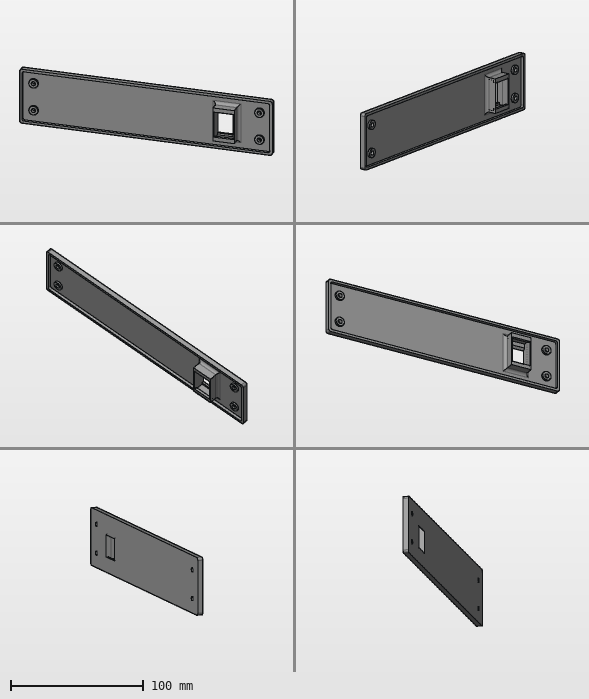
import cadquery as cq

plate_length = 199.6
plate_height = 44.5
plate_thickness = 4.2
total_depth = 10.2
corner_radius = 2.0

rim_width = 2.0
recess_depth = 2.4
recess_corner_radius = 1.5
floor_y = recess_depth - plate_thickness

boss_diameter = 7.2
boss_hole_diameter = 3.2
boss_height = 1.5
boss_spacing_x = 178.5
boss_spacing_z = 22.2

housing_x = 63.3
housing_width = 17.0
housing_height = 27.1
housing_fillet = 2.4
front_y = -total_depth

opening_width = 15.2
opening_top = 10.2
opening_bottom = -10.4
lip_thickness = 2.2
groove_depth = 1.5
groove_front_y = front_y + lip_thickness
groove_back_y = -1.8
ridge_tip_z = opening_top - 1.8
ridge_back_z = ridge_tip_z - 1.8


def front_block(width, height, start_y, end_y, center_x=0):
    """Box centred on Z = 0 between two Y positions."""
    depth = end_y - start_y
    return cq.Workplane("XY").box(width, depth, height).translate((center_x, (start_y + end_y) / 2, 0))


def make_tray():
    plate = front_block(plate_length, plate_height, -plate_thickness, 0)
    plate = plate.edges("|Y").fillet(corner_radius)
    recess = front_block(
        plate_length - 2 * rim_width, plate_height - 2 * rim_width, -plate_thickness, floor_y
    )
    return plate.cut(recess.edges("|Y").fillet(recess_corner_radius))


def add_housing(body):
    housing = front_block(housing_width, housing_height, front_y, floor_y, housing_x)
    body = body.union(housing)
    reach = 0.2
    base_edges = cq.selectors.BoxSelector(
        (housing_x - housing_width / 2 - reach, floor_y - reach, -housing_height / 2 - reach),
        (housing_x + housing_width / 2 + reach, floor_y + reach, housing_height / 2 + reach),
    )
    return body.edges(base_edges).fillet(housing_fillet)


def make_opening():
    """Side profile of the opening in the YZ plane, swept across its width."""
    profile = [
        (front_y, opening_bottom),
        (groove_front_y, opening_bottom),
        (groove_front_y, opening_bottom - groove_depth),
        (groove_back_y, opening_bottom - groove_depth),
        (groove_back_y, opening_bottom),
        (0, opening_bottom),
        (0, ridge_back_z),
        (groove_back_y, ridge_tip_z),
        (groove_back_y, opening_top + groove_depth),
        (groove_front_y, opening_top + groove_depth),
        (groove_front_y, opening_top),
        (front_y, opening_top),
    ]
    side_plane = cq.Workplane("YZ", origin=(housing_x, 0, 0))
    return side_plane.polyline(profile).close().extrude(opening_width / 2, both=True)


def screw_cylinders(diameter, front, back):
    """Four cylinders along Y at the screw positions."""
    return (
        cq.Workplane("XZ", origin=(0, back, 0))
        .rarray(boss_spacing_x, boss_spacing_z, 2, 2)
        .circle(diameter / 2)
        .extrude(back - front)
    )


body = add_housing(make_tray())
body = body.cut(make_opening())
body = body.union(screw_cylinders(boss_diameter, floor_y - boss_height, 0))
result = body.cut(screw_cylinders(boss_hole_diameter, -plate_thickness, 0))